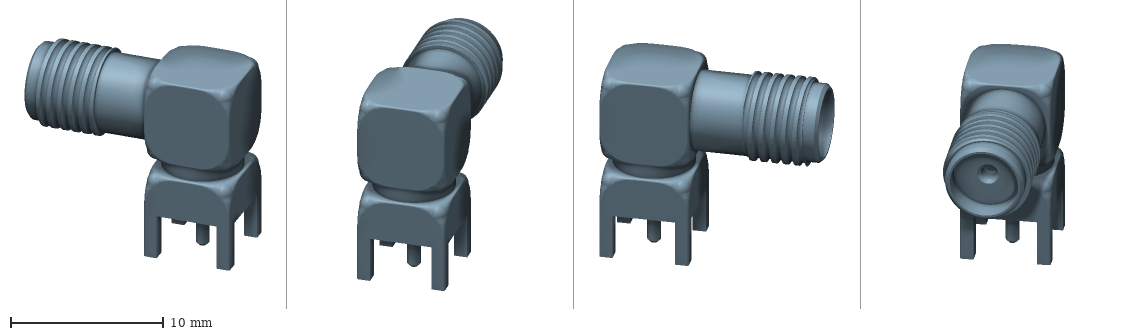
import cadquery as cq
import math


tolerance = 0.0001

block_width = 6.02
block_height = 5.99
neck_height = 1.02
neck_diameter = 5.49

fine_edge_radius = 0.12
face_corner_radius = 2.01
swell_steps = 4

leg_opening = 4.2
leg_height = 3.1
pin_diameter = 0.9
pin_chamfer = 0.22

overall_length = 14.6
barrel_diameter = 5.36
nose_diameter = 5.25
nose_chamfer = 0.22
socket_diameter = 4.53
socket_depth = 1.58
contact_hole_diameter = 1.0
contact_hole_depth = 1.46
contact_countersink_diameter = 1.43

thread_diameter = 5.9
thread_start = 1.01
thread_length = 4.02
five_turns_length = 3.75
thread_pitch = five_turns_length / 5
groove_radius = 0.23
first_groove_at_top = 1.68
groove_clearance = 0.15
lead_in_turns = 1.5

swell_start = fine_edge_radius + face_corner_radius
full_swell = swell_start - face_corner_radius * math.sqrt(0.5)

half_width = block_width / 2
barrel_tip_x = half_width - overall_length
neck_bottom_z = block_height
elbow_bottom_z = neck_bottom_z + neck_height
barrel_axis_z = elbow_bottom_z + block_height / 2


def edge_radius(distance):
    """Edge radius at a distance from the corner that leaves a round-cornered flat face."""
    into_corner = swell_start - distance
    if into_corner <= 0:
        return fine_edge_radius
    rise = face_corner_radius - math.sqrt(face_corner_radius**2 - into_corner**2)
    return fine_edge_radius + rise


def radius_law(edge, plain_z):
    """Points (place along the edge from 0 to 1, radius); an end at plain_z does not swell."""
    length = edge.Length()
    corner_law = [(0, full_swell)]
    for step in range(swell_steps + 1):
        distance = full_swell + (swell_start - full_swell) * step / swell_steps
        corner_law.append((distance / length, edge_radius(distance)))
    plain_law = [(place, fine_edge_radius) for place, _ in corner_law]

    def end_law(end):
        at_plain_end = plain_z is not None and math.isclose(end.z, plain_z, abs_tol=tolerance)
        return plain_law if at_plain_end else corner_law

    mirrored_law = [(1 - place, radius) for place, radius in reversed(end_law(edge.endPoint()))]
    return end_law(edge.startPoint()) + mirrored_law


def rounded_block(bottom_z, square_base):
    """Square block with swelling edge rounding; a square base keeps its edges sharp."""
    block = cq.Workplane().box(block_width, block_width, block_height, centered=(True, True, False))
    block = block.translate((0, 0, bottom_z))
    fillet = cq.occ_impl.shapes.BRepFilletAPI_MakeFillet(block.val().wrapped)
    for edge in block.edges("not(<Z)" if square_base else None).vals():
        law = radius_law(edge, bottom_z if square_base else None)
        points = cq.occ_impl.shapes.TColgp_HArray1OfPnt2d(1, len(law))
        for index, (place, radius) in enumerate(law, start=1):
            points.SetValue(index, cq.occ_impl.shapes.gp_Pnt2d(place, radius))
        fillet.Add(points, edge.wrapped)
    return cq.Workplane(cq.Shape.cast(fillet.Shape()))


def foot():
    """Block on four legs, parted by a square opening running through in both directions."""
    body = rounded_block(0, square_base=True)
    along_x = cq.Workplane().box(block_width, leg_opening, leg_height, centered=(True, True, False))
    along_y = cq.Workplane().box(leg_opening, block_width, leg_height, centered=(True, True, False))
    return body.cut(along_x).cut(along_y)


def centre_pin():
    pin = cq.Workplane().circle(pin_diameter / 2).extrude(leg_height)
    return pin.faces("<Z").chamfer(pin_chamfer)


def neck():
    return cq.Workplane().workplane(offset=neck_bottom_z).circle(neck_diameter / 2).extrude(neck_height)


def barrel_cylinder(start, length, diameter):
    """Cylinder on the barrel axis, starting at a distance from the open end."""
    plane = cq.Workplane("YZ", origin=(barrel_tip_x + start, 0, barrel_axis_z))
    return plane.circle(diameter / 2).extrude(length)


def thread_groove():
    """Helical cutter that runs past both ends of the sleeve."""
    lead_in = lead_in_turns * thread_pitch
    radius = thread_diameter / 2
    helix = cq.Wire.makeHelix(thread_pitch, thread_length + 2 * lead_in, radius, lefthand=True)
    profile = (
        cq.Workplane("XZ", origin=(radius, 0, 0))
        .moveTo(groove_clearance, -groove_radius)
        .lineTo(0, -groove_radius)
        .threePointArc((-groove_radius, 0), (0, groove_radius))
        .lineTo(groove_clearance, groove_radius)
        .close()
    )
    cutter = profile.sweep(cq.Workplane(helix), isFrenet=True)
    cutter = cutter.rotate((0, 0, 0), (0, 1, 0), 90)
    start_x = barrel_tip_x + first_groove_at_top - lead_in
    return cutter.translate((start_x, 0, barrel_axis_z))


def barrel():
    nose = barrel_cylinder(0, thread_start, nose_diameter).faces("<X").chamfer(nose_chamfer)
    sleeve = barrel_cylinder(thread_start, thread_length, thread_diameter).cut(thread_groove(), tol=tolerance)
    shank = barrel_cylinder(thread_start, overall_length - half_width - thread_start, barrel_diameter)
    return nose.union(sleeve).union(shank)


def socket():
    """Open mouth of the barrel with the countersunk contact hole in its floor."""
    mouth_radius = socket_diameter / 2
    countersink_radius = contact_countersink_diameter / 2
    hole_radius = contact_hole_diameter / 2
    countersink_end = socket_depth + countersink_radius - hole_radius
    hole_end = socket_depth + contact_hole_depth
    profile = (
        cq.Workplane("XZ")
        .moveTo(0, 0)
        .lineTo(0, mouth_radius)
        .lineTo(socket_depth, mouth_radius)
        .lineTo(socket_depth, countersink_radius)
        .lineTo(countersink_end, hole_radius)
        .lineTo(hole_end, hole_radius)
        .lineTo(hole_end, 0)
        .close()
    )
    cutter = profile.revolve(360, (0, 0, 0), (1, 0, 0))
    return cutter.translate((barrel_tip_x, 0, barrel_axis_z))


elbow = rounded_block(elbow_bottom_z, square_base=False)
result = foot().union(centre_pin()).union(neck()).union(elbow).union(barrel()).cut(socket())